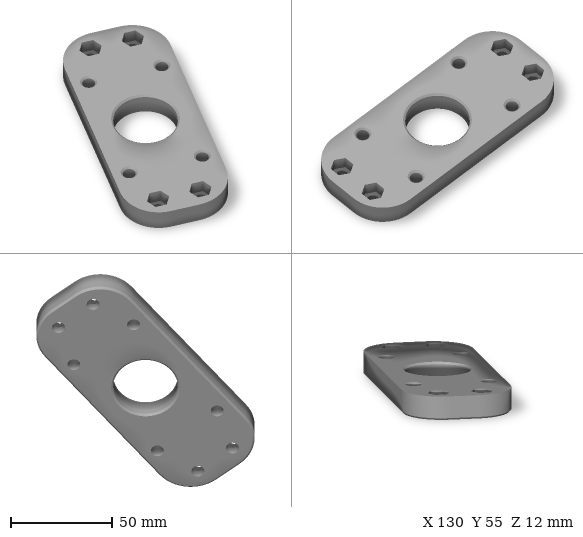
import cadquery as cq
import math

length = 130.0
width = 55.0
thickness = 12.0
corner_radius = 20.0
bottom_chamfer = 1.0

bore_diameter = 32.0
bore_chamfer = 1.0

screw_diameter = 6.4
screw_chamfer = 1.0
screw_spacing_x = 66.0
screw_spacing_y = 38.0

bolt_diameter = 6.4
nut_across_flats = 10.0
nut_depth = 7.0
bolt_spacing_x = 110.0
bolt_spacing_y = 22.0


def make_plate():
    """Rounded plate standing on Z = 0, chamfered around its bottom edge."""
    plate = cq.Workplane("XY").box(length, width, thickness, centered=(True, True, False))
    plate = plate.edges("|Z").fillet(corner_radius)
    return plate.faces("<Z").chamfer(bottom_chamfer)


def rectangle_corners(spacing_x, spacing_y):
    """Four points on the corners of a centred rectangle."""
    return [(sx * spacing_x / 2, sy * spacing_y / 2) for sx in (-1, 1) for sy in (-1, 1)]


def through_cutters(points, diameter):
    """Cylinders through the full plate thickness."""
    return cq.Workplane("XY").pushPoints(points).circle(diameter / 2).extrude(thickness)


def chamfered_cutters(points, diameter, chamfer):
    """Through cylinders that open out in a 45 degree cone at the top face."""
    top_radius = diameter / 2 + chamfer
    cone = cq.Solid.makeCone(diameter / 2, top_radius, chamfer, pnt=(0, 0, thickness - chamfer))
    cones = cq.Workplane("XY").pushPoints(points).eachpoint(lambda place: cone.moved(place))
    return through_cutters(points, diameter).union(cones)


def bore_cutter():
    """Central bore, chamfered alike at the top and bottom faces."""
    top_chamfered = chamfered_cutters([(0, 0)], bore_diameter, bore_chamfer)
    bottom_chamfered = top_chamfered.mirror("XY", (0, 0, thickness / 2))
    return top_chamfered.union(bottom_chamfered)


def nut_pocket_cutters(points):
    """Hexagonal pockets sunk from the top face, with corners pointing along Y."""
    across_corners = nut_across_flats / math.cos(math.pi / 6)
    pocket_floor = cq.Workplane("XY").workplane(offset=thickness - nut_depth)
    hexagons = cq.Sketch().push(points).regularPolygon(across_corners / 2, 6)
    return pocket_floor.placeSketch(hexagons).extrude(nut_depth)


screw_points = rectangle_corners(screw_spacing_x, screw_spacing_y)
bolt_points = rectangle_corners(bolt_spacing_x, bolt_spacing_y)

result = make_plate()
result = result.cut(bore_cutter())
result = result.cut(chamfered_cutters(screw_points, screw_diameter, screw_chamfer))
result = result.cut(through_cutters(bolt_points, bolt_diameter))
result = result.cut(nut_pocket_cutters(bolt_points))